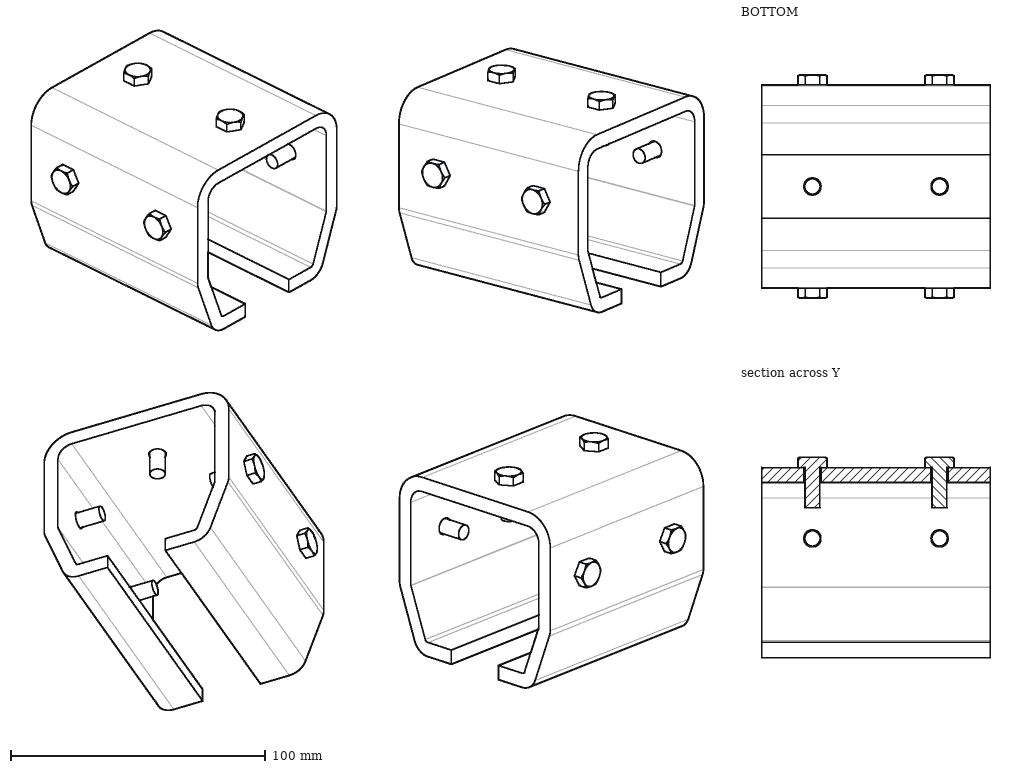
import cadquery as cq
import math


length = 90.0
width = 80.0
height = 75.0
wall = 6.0
top_bend_radius = 12.0
side_height = 47.0
lean_angle = 20.0
lean_bend_radius = 6.6
lip_bend_radius = 7.5
mouth_width = 25.0

bolt_spacing = 50.0
side_bolt_depth = 28.0
head_flats = 10.0
head_height = 4.0
head_chamfer_angle = 30.0
shank_diameter = 6.0
shank_length = 16.0
hole_diameter = 6.75

lean = math.radians(lean_angle)
head_corners = head_flats / math.cos(math.pi / 6)


def channel_prism(inset, lean_radius, lip_radius, top_radius):
    """Solid prism whose profile lies `inset` inside the outer channel profile."""
    side = width / 2 - inset
    bottom = -height + inset
    outer_corner = -side_height - lean_bend_radius * math.tan(lean / 2)
    corner = outer_corner + inset * math.tan(lean / 2)
    foot = side - (corner - bottom) * math.tan(lean)
    prism = (
        cq.Workplane("YZ")
        .polyline([
            (-side, -inset), (side, -inset), (side, corner),
            (foot, bottom), (-foot, bottom), (-side, corner),
        ])
        .close()
        .extrude(length / 2, both=True)
    )

    margin = 0.01

    def edges_at(y, z):
        """Both mirrored edges at height z and at +y and -y."""
        return cq.selectors.BoxSelector(
            (-length, -y - margin, z - margin), (length, y + margin, z + margin)
        )

    for y, z, radius in (
        (side, -inset, top_radius),
        (side, corner, lean_radius),
        (foot, bottom, lip_radius),
    ):
        prism = prism.edges("|X").edges(edges_at(y, z)).fillet(radius)
    return prism


def make_channel():
    outer = channel_prism(0, lean_bend_radius, lip_bend_radius, top_bend_radius)
    inner = channel_prism(
        wall, lean_bend_radius - wall, lip_bend_radius - wall, top_bend_radius - wall
    )
    mouth = cq.Workplane("XY").box(length, mouth_width, 2 * wall).translate((0, 0, -height))
    return outer.cut(inner).cut(mouth)


def make_bolt():
    """Bolt along Z with the underside of its head at the origin."""
    head = cq.Workplane("XY").polygon(6, head_corners).extrude(head_height)
    corner_reach = (head_corners - head_flats) / 2
    chamfer_drop = corner_reach * math.tan(math.radians(head_chamfer_angle))
    crown = (
        cq.Workplane("XY")
        .circle(head_corners / 2)
        .extrude(head_height)
        .faces(">Z")
        .chamfer(chamfer_drop, corner_reach)
    )
    shank = cq.Workplane("XY").circle(shank_diameter / 2).extrude(-shank_length)
    return head.intersect(crown).union(shank)


def make_hole_cutter():
    """Clearance hole through one wall, in the same frame as the bolt."""
    return cq.Workplane("XY").circle(hole_diameter / 2).extrude(-wall)


def at_stations(make_body):
    """Copies of a body at every bolt seat: a pair on the top and on each side."""
    copies = []
    for x in (-bolt_spacing / 2, bolt_spacing / 2):
        for tilt, y, z in (
            (0, 0, 0),
            (90, -width / 2, -side_bolt_depth),
            (-90, width / 2, -side_bolt_depth),
        ):
            copies.append(make_body().rotate((0, 0, 0), (1, 0, 0), tilt).translate((x, y, z)))
    return copies


channel = make_channel()
for hole in at_stations(make_hole_cutter):
    channel = channel.cut(hole)

bolts = at_stations(make_bolt)

result = cq.Compound.makeCompound([channel.val(), *[bolt.val() for bolt in bolts]])